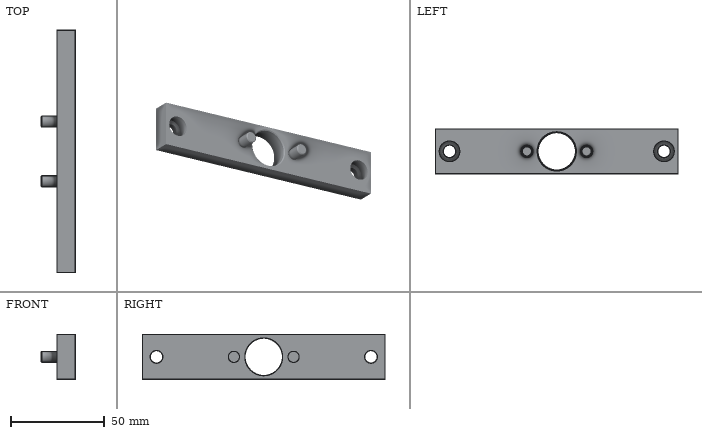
import cadquery as cq

plate_length = 130.0
plate_height = 24.0
plate_thickness = 10.0

bore_diameter = 20.0
bore_chamfer = 0.5

screw_offset = 57.5
screw_diameter = 6.6
counterbore_diameter = 11.0
counterbore_depth = 6.5

pin_offset = 16.0
pin_diameter = 6.0
pin_protrusion = 8.5
pin_chamfer = 0.5
pin_hole_mouth_diameter = 6.6
pin_hole_chamfer = (pin_hole_mouth_diameter - pin_diameter) / 2


def cylinder_along_x(diameter, start, end, y):
    """Cylinder from X = start to X = end, centred on Z = 0."""
    return (
        cq.Workplane("YZ", origin=(start, y, 0))
        .circle(diameter / 2)
        .extrude(end - start)
    )


def chamfered_hole(diameter, chamfer, y):
    """Cutter for a through hole whose mouth at X = 0 is chamfered."""
    hole = cylinder_along_x(diameter, 0, plate_thickness, y)
    mouth = cq.Solid.makeCone(
        diameter / 2 + chamfer,
        diameter / 2,
        chamfer,
        pnt=cq.Vector(0, y, 0),
        dir=cq.Vector(1, 0, 0),
    )
    return hole.union(cq.Workplane(mouth))


def counterbored_hole(y):
    """Cutter for a screw hole counterbored from the outer face."""
    hole = cylinder_along_x(screw_diameter, 0, plate_thickness, y)
    return hole.union(cylinder_along_x(counterbore_diameter, 0, counterbore_depth, y))


def make_plate():
    plate = cq.Workplane("XY").box(
        plate_thickness, plate_length, plate_height, centered=(False, True, True)
    )
    plate = plate.cut(chamfered_hole(bore_diameter, bore_chamfer, 0))
    for side in (-1, 1):
        plate = plate.cut(counterbored_hole(side * screw_offset))
        plate = plate.cut(chamfered_hole(pin_diameter, pin_hole_chamfer, side * pin_offset))
    return plate


def make_pin(y):
    pin = cylinder_along_x(pin_diameter, -pin_protrusion, plate_thickness, y)
    return pin.faces("<X").chamfer(pin_chamfer)


plate = make_plate()
pins = [make_pin(side * pin_offset) for side in (-1, 1)]

result = cq.Compound.makeCompound([plate.val(), *[pin.val() for pin in pins]])